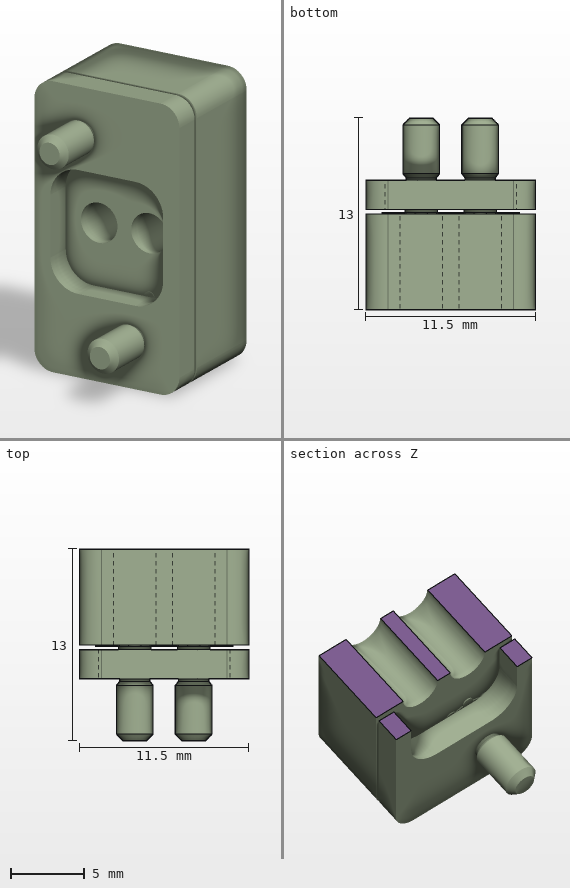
import cadquery as cq

width = 11.5
height = 21.0
depth = 13.0
corner_radius = 1.5

block_depth = 6.5
gap = 0.3
plate_depth = 2.0
pin_length = depth - block_depth - gap - plate_depth

block_front = -block_depth
plate_back = block_front - gap

window_size = 8.95
window_radius = 2.2

hole_diameter = 2.9
feature_offset_x = 2.0

pin_offset_z = 7.0
pin_centers = [(-feature_offset_x, pin_offset_z), (feature_offset_x, -pin_offset_z)]
shaft_radius = 1.11
neck_radius = 1.03
neck_length = 0.158
body_diameter = 2.5
body_radius = body_diameter / 2
tip_radius = 0.8
tip_chamfer_length = body_radius - tip_radius
neck_cone_length = 0.3

head_thickness = 0.08
head_outer_radius = 2.8
lobe_count = 10
lobe_radius = 0.42
lobe_center_radius = head_outer_radius - lobe_radius


def plane_at(y, center=(0, 0)):
    """Workplane facing -Y at depth y: local x is X, local y is Z."""
    return cq.Workplane("XZ", origin=(center[0], y, center[1]))


def rounded_slab(back, thickness, size_x, size_z, radius):
    """Rectangular slab running from y = back toward -Y, with rounded corners."""
    return plane_at(back).rect(size_x, size_z).extrude(thickness).edges("|Y").fillet(radius)


def block():
    body = rounded_slab(0, block_depth, width, height, corner_radius)
    hole_centers = [(-feature_offset_x, 0), (feature_offset_x, 0)]
    holes = plane_at(0).pushPoints(hole_centers).circle(hole_diameter / 2).extrude(block_depth)
    return body.cut(holes)


def plate():
    body = rounded_slab(plate_back, plate_depth, width, height, corner_radius)
    window = rounded_slab(plate_back, plate_depth, window_size, window_size, window_radius)
    return body.cut(window)


def screw_head(center):
    """Thin disc with evenly spaced round lobes, one of them pointing straight up."""
    head = plane_at(block_front, center).circle(lobe_center_radius).extrude(head_thickness)
    lobes = (
        plane_at(block_front, center)
        .polarArray(lobe_center_radius, 90, 360, lobe_count)
        .circle(lobe_radius)
        .extrude(head_thickness)
    )
    return head.union(lobes)


def screw_pin(center):
    """Shaft across the gap, then a necked pin with a chamfered tip."""
    plate_exit = gap + plate_depth
    neck_end = plate_exit + neck_length
    tip_end = plate_exit + pin_length
    profile = [
        (0, 0),
        (shaft_radius, 0),
        (shaft_radius, gap),
        (neck_radius, gap),
        (neck_radius, neck_end),
        (body_radius, neck_end + neck_cone_length),
        (body_radius, tip_end - tip_chamfer_length),
        (tip_radius, tip_end),
        (0, tip_end),
    ]
    pin = cq.Workplane("XY").polyline(profile).close().revolve(360, (0, 0), (0, 1))
    return pin.rotate((0, 0, 0), (1, 0, 0), 180).translate((center[0], block_front, center[1]))


result = block().union(plate())
for pin_center in pin_centers:
    result = result.union(screw_head(pin_center)).union(screw_pin(pin_center))